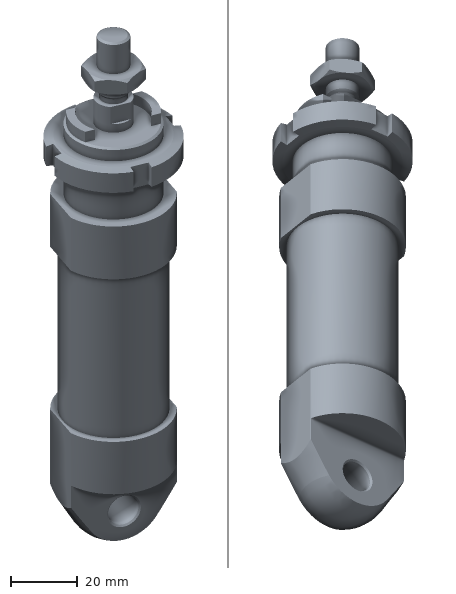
import cadquery as cq
import math

total_height = 176.5
eye_hole_z = 12.2
rear_cap_bottom = 25.8
rear_cap_top = 44.3
front_cap_bottom = 101.8
front_cap_top = 120.5
neck_top = 145.6
lug_top = 149.3
shoulder_z = 154.6

barrel_diameter = 33.5
cap_diameter = 38.0
cap_across_flats = 35.0
neck_diameter = 30.0
neck_end_diameter = 28.5
thread_chamfer_angle = math.radians(30)

eye_thickness = 15.0
eye_hole_diameter = 10.0
eye_hole_chamfer = 0.5
eye_tip_radius = 15.0
eye_cone_angle = math.radians(60)
eye_root_fillet = 0.5

lug_width = 13.6
lug_outer_diameter = neck_end_diameter
lug_inner_diameter = 23.0

rod_diameter = 12.0
rod_across_flats = 10.0
rod_flat_bottom = 148.6
thread_diameter = 10.0
thread_end_diameter = 8.5
thread_bottom = 157.3
relief_diameter = 8.6
relief_cone_height = 0.9

hex_across_flats = 17.0
hex_thickness = 5.1
hex_bottom = 160.6
hex_side_count = 6
hex_chamfer_angle = math.radians(30)

ring_diameter = 42.0
ring_chamfer_diameter = 36.0
ring_bottom = 133.3
ring_thickness = 8.0
ring_chamfer_height = 0.5
ring_slot_width = 6.0
ring_slot_floor_radius = 18.5
ring_slot_count = 4


def cylinder(diameter, bottom, top):
    """Solid cylinder on the Z axis between two heights."""
    return cq.Workplane("XY").workplane(offset=bottom).circle(diameter / 2).extrude(top - bottom)


def block(size_x, size_y, bottom, top):
    """Rectangular block centred on the Z axis between two heights."""
    return cq.Workplane("XY").workplane(offset=bottom).rect(size_x, size_y).extrude(top - bottom)


def revolved(outline):
    """Solid of revolution about Z from (radius, height) points that start and end on the axis."""
    return cq.Workplane("XZ").polyline(outline).close().revolve(360, (0, 0), (0, 1))


def thread_chamfer_height(diameter, end_diameter):
    """Axial height of the chamfer that leads into a thread."""
    return (diameter - end_diameter) / 2 * math.tan(thread_chamfer_angle)


def make_cap(bottom, top):
    """Round end cap with two flats facing -Y and +Y."""
    return cylinder(cap_diameter, bottom, top).intersect(block(cap_diameter, cap_across_flats, bottom, top))


def make_eye_envelope():
    """Round nose below the rear cap: a spherical tip that runs tangent into a cone."""
    cap_radius = cap_diameter / 2
    tangent_r = eye_tip_radius * math.sin(eye_cone_angle)
    tangent_z = eye_tip_radius * (1 - math.cos(eye_cone_angle))
    middle_r = eye_tip_radius * math.sin(eye_cone_angle / 2)
    middle_z = eye_tip_radius * (1 - math.cos(eye_cone_angle / 2))
    cone_top = tangent_z + (cap_radius - tangent_r) * math.tan(eye_cone_angle)
    return (
        cq.Workplane("XZ")
        .moveTo(0, 0)
        .threePointArc((middle_r, middle_z), (tangent_r, tangent_z))
        .lineTo(cap_radius, cone_top)
        .lineTo(cap_radius, rear_cap_top)
        .lineTo(0, rear_cap_top)
        .close()
        .revolve(360, (0, 0), (0, 1))
    )


def make_rear_cap():
    """Rear cap with the mounting eye standing below it."""
    plate = block(eye_thickness, cap_across_flats, 0, rear_cap_top).intersect(make_eye_envelope())
    rear_cap = make_cap(rear_cap_bottom, rear_cap_top).union(plate)
    search_box = cq.selectors.BoxSelector(
        (-eye_thickness, -cap_diameter, rear_cap_bottom - eye_root_fillet),
        (eye_thickness, cap_diameter, rear_cap_bottom + eye_root_fillet),
    )
    root_edges = rear_cap.edges("|Y").edges(search_box)
    return root_edges.fillet(eye_root_fillet).cut(make_eye_hole())


def make_eye_hole():
    """Cutter along X for the pin hole, widening to a 45 degree chamfer at both mouths."""
    half_plate = eye_thickness / 2
    hole_radius = eye_hole_diameter / 2
    mouth_radius = hole_radius + eye_hole_chamfer
    return (
        cq.Workplane("XY")
        .polyline([
            (-half_plate, 0),
            (-half_plate, mouth_radius),
            (-half_plate + eye_hole_chamfer, hole_radius),
            (half_plate - eye_hole_chamfer, hole_radius),
            (half_plate, mouth_radius),
            (half_plate, 0),
        ])
        .close()
        .revolve(360, (0, 0), (1, 0))
        .translate((0, 0, eye_hole_z))
    )


def make_neck():
    """Threaded neck with a chamfered front end."""
    chamfer_height = thread_chamfer_height(neck_diameter, neck_end_diameter)
    return revolved([
        (0, front_cap_top),
        (neck_diameter / 2, front_cap_top),
        (neck_diameter / 2, neck_top - chamfer_height),
        (neck_end_diameter / 2, neck_top),
        (0, neck_top),
    ])


def make_lugs():
    """Two curved spanner lugs on the front face, towards -Y and +Y."""
    ring = cylinder(lug_outer_diameter, neck_top, lug_top).cut(
        cylinder(lug_inner_diameter, neck_top, lug_top)
    )
    return ring.intersect(block(lug_width, lug_outer_diameter, neck_top, lug_top))


def make_housing():
    barrel = cylinder(barrel_diameter, rear_cap_top, front_cap_bottom)
    front_cap = make_cap(front_cap_bottom, front_cap_top)
    return make_rear_cap().union(barrel).union(front_cap).union(make_neck()).union(make_lugs())


def make_rod():
    """Piston rod with spanner flats, thread relief and threaded end."""
    end_chamfer = thread_chamfer_height(thread_diameter, thread_end_diameter)
    shank = cylinder(rod_diameter, neck_top, rod_flat_bottom)
    flatted = cylinder(rod_diameter, rod_flat_bottom, shoulder_z).intersect(
        block(rod_across_flats, rod_diameter, rod_flat_bottom, shoulder_z)
    )
    threaded_end = revolved([
        (0, shoulder_z),
        (relief_diameter / 2, shoulder_z),
        (relief_diameter / 2, thread_bottom - relief_cone_height),
        (thread_diameter / 2, thread_bottom),
        (thread_diameter / 2, total_height - end_chamfer),
        (thread_end_diameter / 2, total_height),
        (0, total_height),
    ])
    return shank.union(flatted).union(threaded_end)


def make_hex_nut():
    """Hexagonal nut with corners rounded off by a 30 degree cone at both ends."""
    corner_radius = hex_across_flats / math.sqrt(3)
    face_radius = hex_across_flats / 2
    hex_top = hex_bottom + hex_thickness
    corner_drop = (corner_radius - face_radius) * math.tan(hex_chamfer_angle)
    prism = (
        cq.Workplane("XY")
        .workplane(offset=hex_bottom)
        .polygon(hex_side_count, 2 * corner_radius)
        .extrude(hex_thickness)
    )
    rounding = revolved([
        (0, hex_bottom),
        (face_radius, hex_bottom),
        (corner_radius, hex_bottom + corner_drop),
        (corner_radius, hex_top - corner_drop),
        (face_radius, hex_top),
        (0, hex_top),
    ])
    return prism.intersect(rounding).cut(cylinder(thread_diameter, hex_bottom, hex_top))


def make_ring_nut():
    """Slotted round nut with a shallow conical chamfer on both end faces."""
    ring_top = ring_bottom + ring_thickness
    ring_radius = ring_diameter / 2
    chamfer_radius = ring_chamfer_diameter / 2
    ring = revolved([
        (0, ring_bottom),
        (chamfer_radius, ring_bottom),
        (ring_radius, ring_bottom + ring_chamfer_height),
        (ring_radius, ring_top - ring_chamfer_height),
        (chamfer_radius, ring_top),
        (0, ring_top),
    ]).cut(cylinder(neck_diameter, ring_bottom, ring_top))
    slot_depth = ring_radius - ring_slot_floor_radius
    for index in range(ring_slot_count):
        slot = (
            block(2 * slot_depth, ring_slot_width, ring_bottom, ring_top)
            .translate((ring_slot_floor_radius + slot_depth, 0, 0))
            .rotate((0, 0, 0), (0, 0, 1), index * 360 / ring_slot_count)
        )
        ring = ring.cut(slot)
    return ring


housing = make_housing()
rod = make_rod()
hex_nut = make_hex_nut()
ring_nut = make_ring_nut()

result = cq.Compound.makeCompound([housing.val(), rod.val(), hex_nut.val(), ring_nut.val()])